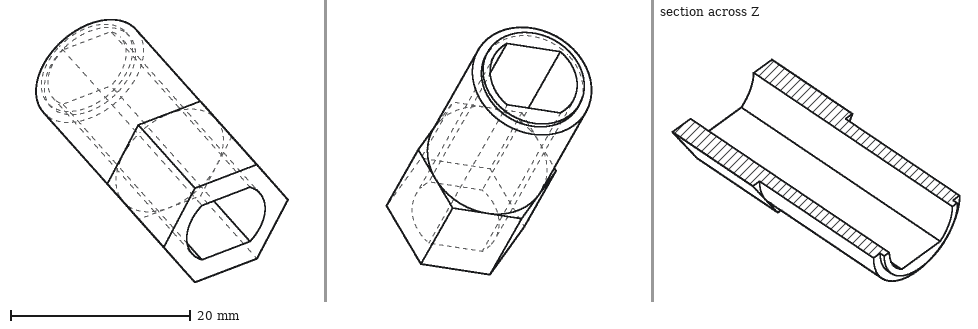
import cadquery as cq
import math

total_length = 30.8
body_diameter = 13.9
hex_across_flats = body_diameter
hex_length = 12.5

lip_diameter = 11.8
lip_length = 0.65

bore_diameter = 10.13
bore_across_flats = 8.0

hex_across_corners = hex_across_flats / math.cos(math.radians(30))
hex_start = total_length - hex_length


def section(start_x):
    """Workplane across the axis at start_x, extruding toward +X."""
    return cq.Workplane("YZ", origin=(start_x, 0, 0))


def round_sleeve():
    lip = section(0).circle(lip_diameter / 2).extrude(lip_length)
    body = section(lip_length).circle(body_diameter / 2).extrude(hex_start - lip_length)
    return lip.union(body)


def hex_head():
    """Hexagon with corners on the Y axis and flats facing up and down."""
    return section(hex_start).polygon(6, hex_across_corners).extrude(hex_length)


def flatted_bore():
    cylinder = section(0).circle(bore_diameter / 2).extrude(total_length)
    flats = section(0).rect(bore_diameter, bore_across_flats).extrude(total_length)
    return cylinder.intersect(flats)


result = round_sleeve().union(hex_head()).cut(flatted_bore())